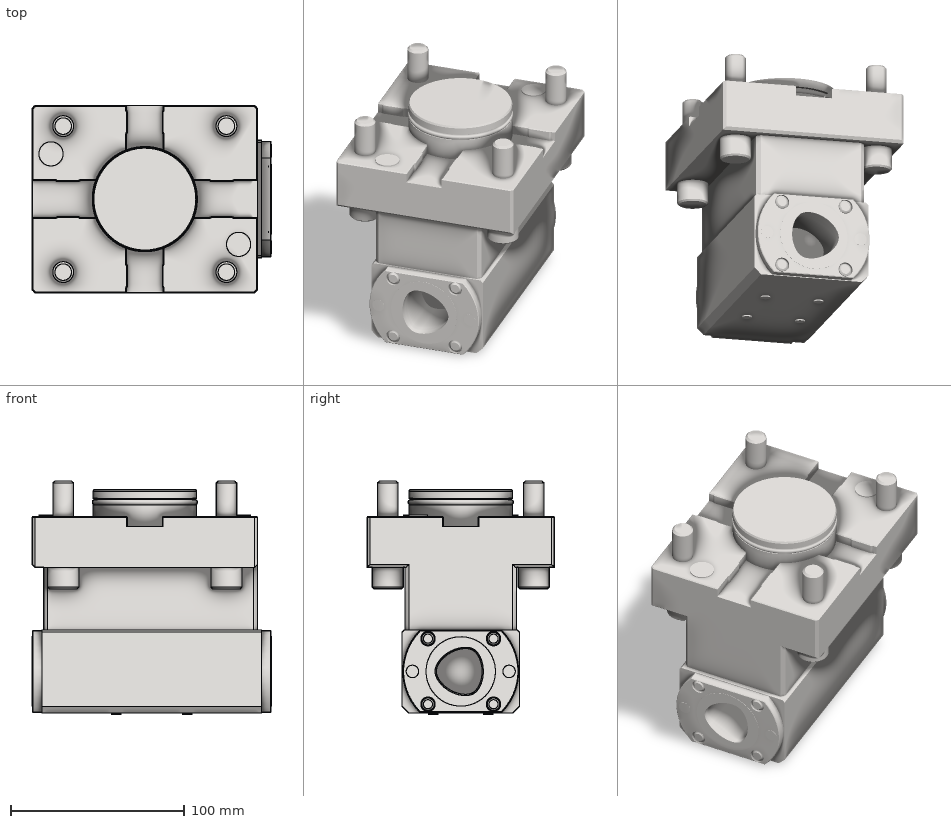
import cadquery as cq
import math


plate_length = 130.0
plate_width = 108.0
plate_bottom = 60.0
plate_top = 89.4
plate_chamfer = 1.7
plate_top_chamfer = 0.5

slot_width = 21.2
slot_depth = 6.0
pad_thickness = 0.5
pad_start = 37.2
pad_end = 51.5
pad_ramp = 1.1

disc_diameter = 14.0
disc_height = 0.7
disc_x = 54.1
disc_y = 26.1

screw_x = 47.0
screw_y = 42.1
screw_diameter = 12.0
screw_head_diameter = 18.0
screw_head_height = 12.4
screw_top = 109.8
screw_chamfer = 1.2
screw_head_chamfer = 1.0

plug_diameter = 59.9
plug_top = 104.8
plug_chamfer_height = 1.1
plug_chamfer_width = 0.5
groove_diameter = 55.2
groove_top = 99.7
groove_height = 3.7
ring_diameter = 60.7
ring_section = 3.0
groove_bottom = groove_top - groove_height

neck_length = 123.3
neck_width = 64.3
neck_center_x = (plate_length - neck_length) / 2
neck_chamfer = 2.2

block_center_x = 4.0
block_length = 126.8
block_width = 67.9
block_half_height = 24.0
block_top_chamfer = 1.4
block_bottom_chamfer = 3.9
button_diameter = 5.7
button_x = 20.4
button_y = 15.9
button_height = 0.7

overall_length = 138.0
face_proud = 0.1
flange_thickness = (overall_length - block_length) / 2 - face_proud
flange_diameter = 66.8
flange_height = 47.2
flange_chamfer = 0.4
face_diameter = 40.0
dowel_diameter = 7.2
dowel_offset = 27.9
bolt_offset = 18.9
bolt_pocket_diameter = 8.3
bolt_pocket_depth = 1.7
bolt_diameter = 7.2
bolt_chamfer = 1.0

socket_radius = 14.0
socket_lobes = 3
socket_lobe_height = 0.9
socket_curve_points = 36
socket_depth = 30.4
socket_taper = 1 / 40


def cylinder(diameter, bottom, top, x=0, y=0):
    """Vertical cylinder between two heights."""
    return cq.Workplane("XY", origin=(x, y, bottom)).circle(diameter / 2).extrude(top - bottom)


def four_corners(dx, dy):
    """Points at the four sign combinations of the two offsets."""
    return [(sx * dx, sy * dy) for sx in (-1, 1) for sy in (-1, 1)]


def slot_cutter():
    """Slot along X, narrowed by a ramped pad on each wall at both ends."""
    reach = plate_length
    wide = slot_width / 2
    narrow = wide - pad_thickness
    right_wall = [
        (pad_start, wide),
        (pad_start + pad_ramp, narrow),
        (pad_end - pad_ramp, narrow),
        (pad_end, wide),
        (reach, wide),
    ]
    upper = [(-x, y) for x, y in reversed(right_wall)] + right_wall
    lower = [(x, -y) for x, y in reversed(upper)]
    floor = plate_top - slot_depth
    outline = cq.Workplane("XY", origin=(0, 0, floor)).polyline(upper + lower).close()
    return outline.extrude(2 * slot_depth)


def make_plate():
    height = plate_top - plate_bottom
    plate = (
        cq.Workplane("XY", origin=(0, 0, plate_bottom))
        .rect(plate_length, plate_width)
        .extrude(height)
        .edges("|Z").chamfer(plate_chamfer)
        .faces("<Z").edges("|Y").chamfer(plate_chamfer)
    )
    slot = slot_cutter()
    plate = plate.cut(slot).cut(slot.rotate((0, 0, 0), (0, 0, 1), 90))
    plate = plate.faces(">Z").edges().chamfer(plate_top_chamfer)
    for side in (-1, 1):
        disc_top = plate_top + disc_height
        disc = cylinder(disc_diameter, plate_bottom + height / 2, disc_top, side * disc_x, -side * disc_y)
        plate = plate.union(disc)
    return plate


def make_screw(x, y):
    head_bottom = plate_bottom - screw_head_height
    head = cylinder(screw_head_diameter, head_bottom, plate_bottom + screw_chamfer, x, y)
    shank = cylinder(screw_diameter, plate_bottom, screw_top, x, y)
    head = head.faces("<Z").chamfer(screw_head_chamfer)
    return head.union(shank.faces(">Z").chamfer(screw_chamfer))


def make_plug():
    radius = plug_diameter / 2
    groove_radius = groove_diameter / 2
    profile = [
        (0, plate_bottom),
        (radius, plate_bottom),
        (radius, groove_bottom),
        (groove_radius, groove_bottom),
        (groove_radius, groove_top),
        (radius, groove_top),
        (radius, plug_top - plug_chamfer_height),
        (radius - plug_chamfer_width, plug_top),
        (0, plug_top),
    ]
    plug = cq.Workplane("XZ").polyline(profile).close().revolve(360, (0, 0), (0, 1))
    section_radius = ring_section / 2
    ring_radius = ring_diameter / 2 - section_radius
    ring = (
        cq.Workplane("XZ", origin=(0, 0, groove_bottom + section_radius))
        .moveTo(ring_radius, 0)
        .circle(section_radius)
        .revolve(360, (0, 0), (0, 1))
    )
    return plug.union(ring)


def make_neck():
    return (
        cq.Workplane("XY", origin=(neck_center_x, 0, 0))
        .rect(neck_length, neck_width)
        .extrude(plate_bottom + plate_chamfer)
        .edges("|Z").chamfer(neck_chamfer)
    )


def make_block():
    block = (
        cq.Workplane("XY", origin=(block_center_x, 0, 0))
        .box(block_length, block_width, 2 * block_half_height)
        .edges("|X and >Z").chamfer(block_top_chamfer)
        .edges("|X and <Z").chamfer(block_bottom_chamfer)
    )
    for dx, dy in four_corners(button_x, button_y):
        button_bottom = -block_half_height - button_height
        block = block.union(cylinder(button_diameter, button_bottom, 0, block_center_x + dx, dy))
    return block


def socket_outline(radius):
    """Constant-width three-lobed curve with one lobe along +X of its plane."""
    def point(angle):
        reach = radius + socket_lobe_height * math.cos(socket_lobes * angle)
        slope = -socket_lobes * socket_lobe_height * math.sin(socket_lobes * angle)
        x = reach * math.cos(angle) - slope * math.sin(angle)
        y = reach * math.sin(angle) + slope * math.cos(angle)
        return (x, y)

    step = 2 * math.pi / socket_curve_points
    return [point(i * step) for i in range(socket_curve_points)]


def flange_plane(x):
    """Plane across the port axis: its X runs along -Y, its normal along -X."""
    return cq.Plane(origin=(x, 0, 0), xDir=(0, -1, 0), normal=(-1, 0, 0))


def make_flange():
    """Flange on the -X end of the block."""
    block_end = block_center_x - block_length / 2
    flange_face = block_end - flange_thickness
    bolts = four_corners(bolt_offset, bolt_offset)
    flange = (
        cq.Workplane(flange_plane(block_end))
        .circle(flange_diameter / 2)
        .extrude(flange_thickness)
        .intersect(cq.Workplane("XY").box(2 * overall_length, flange_diameter, flange_height))
        .faces("<X").edges().chamfer(flange_chamfer)
    )
    pocket = (
        cq.Workplane(flange_plane(flange_face))
        .pushPoints(bolts)
        .circle(bolt_pocket_diameter / 2)
        .extrude(-bolt_pocket_depth)
    )
    bolt_heads = (
        cq.Workplane(flange_plane(block_end))
        .pushPoints(bolts)
        .circle(bolt_diameter / 2)
        .extrude(flange_thickness)
        .faces("<X").chamfer(bolt_chamfer)
    )
    contact_face = (
        cq.Workplane(flange_plane(block_end))
        .circle(face_diameter / 2)
        .pushPoints([(-dowel_offset, 0), (dowel_offset, 0)])
        .circle(dowel_diameter / 2)
        .extrude(flange_thickness + face_proud)
    )
    return flange.cut(pocket).union(bolt_heads).union(contact_face)


def make_socket():
    """Tapered cavity entering from the -X end."""
    mouth = flange_plane(block_center_x - overall_length / 2)
    return (
        cq.Workplane(mouth)
        .spline(socket_outline(socket_radius), periodic=True).close()
        .workplane(offset=-socket_depth)
        .spline(socket_outline(socket_radius - socket_depth * socket_taper), periodic=True).close()
        .loft()
    )


def mirror_to_far_end(shape):
    return shape.mirror("YZ", (block_center_x, 0, 0))


flange = make_flange()
socket = make_socket()

result = make_plate().union(make_plug()).union(make_neck()).union(make_block())
for screw_position in four_corners(screw_x, screw_y):
    result = result.union(make_screw(*screw_position))
result = result.union(flange).union(mirror_to_far_end(flange))
result = result.cut(socket).cut(mirror_to_far_end(socket))